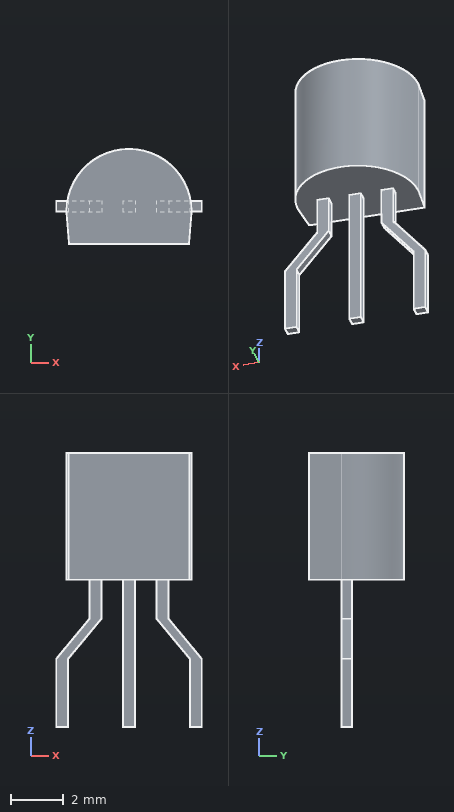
import cadquery as cq

body_radius = 2.38
body_height = 4.82
front_depth = 1.24
front_face_width = 4.56

lead_width = 0.46
lead_thickness = 0.40
lead_length = 5.585
root_pitch = 1.27
tip_pitch = 2.54
root_length = 1.47
crank_height = 1.53

lead_embed = 0.5


def make_body():
    """Body standing on Z = 0, with the axis of its round back on the Z axis."""
    half_face = front_face_width / 2
    return (
        cq.Workplane("XY")
        .moveTo(body_radius, 0)
        .threePointArc((0, body_radius), (-body_radius, 0))
        .lineTo(-half_face, -front_depth)
        .lineTo(half_face, -front_depth)
        .close()
        .extrude(body_height)
    )


def make_lead(side):
    """Lead on the given side: -1 left, 0 middle (straight), 1 right."""
    half_width = lead_width / 2
    crank_top = -root_length
    crank_bottom = crank_top - crank_height
    root_x = side * root_pitch
    tip_x = side * tip_pitch
    centre_line = [
        (root_x, lead_embed),
        (root_x, crank_top),
        (tip_x, crank_bottom),
        (tip_x, -lead_length),
    ]
    left_edge = [(x - half_width, z) for x, z in centre_line]
    right_edge = [(x + half_width, z) for x, z in reversed(centre_line)]
    return (
        cq.Workplane("XZ")
        .polyline(left_edge + right_edge)
        .close()
        .extrude(-lead_thickness)
    )


result = make_body()
for side in (-1, 0, 1):
    result = result.union(make_lead(side))
result = result.clean()